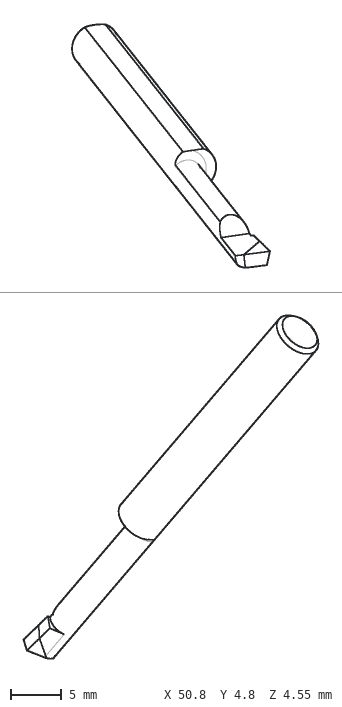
import cadquery as cq
import math

total_length = 50.8

shank_radius = 2.4
shank_length = 30.65
shank_chamfer = 0.4
flat_height = 2.15

neck_radius = 1.6
neck_center_y = -1.0
neck_fillet = 0.75

head_plane_z = 0.0
ramp_end_x = 46.3
flank_start_x = 46.75
flank_start_y = 0.8
nose_y = 1.15
end_setback = 0.1
relief_angle = 8.0

tip_start_x = 48.25

margin = 5.1


def cylinder(radius, start_x, end_x, center_y=0.0):
    return cq.Workplane("YZ", origin=(start_x, center_y, 0)).circle(radius).extrude(end_x - start_x)


def make_flat_limit():
    """Block that spans the bar and ends at the height of the shank flat."""
    return cq.Workplane("XY", origin=(0, -margin, -margin)).box(
        total_length, 2 * margin, margin + flat_height, centered=False
    )


def make_shank():
    shank = cylinder(shank_radius, 0, shank_length).faces("<X").chamfer(shank_chamfer)
    return shank.intersect(make_flat_limit())


def make_neck():
    """Neck with a concave fillet at the shank, not yet trimmed to the shank section."""
    fillet_end_x = shank_length + neck_fillet
    fillet_top = neck_radius + neck_fillet
    arc_offset = neck_fillet * (1 - math.sqrt(0.5))
    root = (
        cq.Workplane("XY")
        .moveTo(shank_length, 0)
        .lineTo(shank_length, fillet_top)
        .threePointArc(
            (shank_length + arc_offset, neck_radius + arc_offset),
            (fillet_end_x, neck_radius),
        )
        .lineTo(fillet_end_x, 0)
        .close()
        .revolve(360, (0, 0, 0), (1, 0, 0))
        .translate((0, neck_center_y, 0))
    )
    return root.union(cylinder(neck_radius, fillet_end_x, total_length, neck_center_y))


def make_flank():
    """Extra width on the +Y side of the head."""
    return (
        cq.Workplane("XY", origin=(flank_start_x, neck_center_y, head_plane_z - neck_radius))
        .box(total_length - flank_start_x, nose_y - neck_center_y, neck_radius, centered=False)
    )


def make_clearance_envelope():
    """Tapered block whose +X and +Y sides are the relieved end face and flank."""
    flank_slope = (nose_y - flank_start_y) / (total_length - flank_start_x)
    end_slope = end_setback / (nose_y + shank_radius)
    back_x = flank_start_x - margin
    back_y = nose_y - flank_slope * (total_length - back_x)
    low_y = -shank_radius - margin
    return (
        cq.Workplane("XY", origin=(0, 0, head_plane_z))
        .polyline([
            (back_x, low_y),
            (total_length - end_slope * (nose_y - low_y), low_y),
            (total_length, nose_y),
            (back_x, back_y),
        ])
        .close()
        .extrude(-2 * neck_radius, taper=relief_angle)
    )


def make_blade():
    """Neck and head as one piece, including the tip."""
    shank_envelope = cylinder(shank_radius, shank_length, total_length)
    blade = make_neck().intersect(shank_envelope).intersect(make_flat_limit())
    ramp_cut = (
        cq.Workplane("XZ", origin=(0, margin, 0))
        .moveTo(ramp_end_x, head_plane_z)
        .lineTo(total_length + margin, head_plane_z)
        .lineTo(total_length + margin, head_plane_z + margin)
        .lineTo(ramp_end_x - margin, head_plane_z + margin)
        .close()
        .extrude(2 * margin)
    )
    blade = blade.cut(ramp_cut)
    behind_head = cylinder(shank_radius + margin, shank_length, flank_start_x)
    head = blade.cut(behind_head).union(make_flank()).intersect(make_clearance_envelope())
    return blade.intersect(behind_head).union(head)


def make_tip_region():
    """Vertical prism on the nose side of the 45 degree split line."""
    tip_start_y = nose_y - (nose_y - flank_start_y) * (total_length - tip_start_x) / (
        total_length - flank_start_x
    )
    return (
        cq.Workplane("XY", origin=(0, 0, -margin))
        .polyline([
            (tip_start_x - margin, tip_start_y + margin),
            (tip_start_x + margin, tip_start_y - margin),
            (tip_start_x + margin, tip_start_y + margin),
        ])
        .close()
        .extrude(2 * margin)
    )


blade = make_blade()
tip_region = make_tip_region()
bar = make_shank().union(blade.cut(tip_region))
tip = blade.intersect(tip_region)

result = cq.Compound.makeCompound([bar.solids().val(), tip.solids().val()])